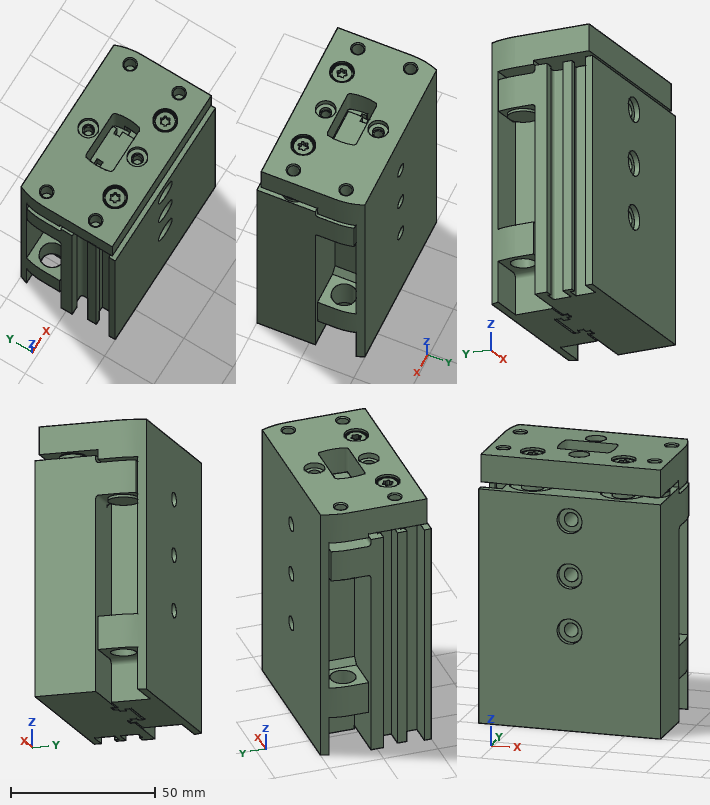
import cadquery as cq
import math


TOTAL_HEIGHT = 97.0
TOTAL_DEPTH = 40.0
HOUSING_HALF_WIDTH = 33.0
HOUSING_HEIGHT = 84.9
HOUSING_BACK_Y = 22.2

SIDE_CLEARANCE = 0.4
SLIDE_HALF_WIDTH = HOUSING_HALF_WIDTH - SIDE_CLEARANCE
SLIDE_BACK_HALF_WIDTH = 30.6
CURVE_START_Y = 29.9
CURVE_DEPTH = TOTAL_DEPTH - CURVE_START_Y
CURVE_INSET = SLIDE_HALF_WIDTH - SLIDE_BACK_HALF_WIDTH
CURVE_RADIUS = (CURVE_DEPTH**2 + CURVE_INSET**2) / (2 * CURVE_INSET)
END_PLATE_FRONT_Y = 1.5
END_PLATE_THICKNESS = 10.0
END_PLATE_BOTTOM_Z = TOTAL_HEIGHT - END_PLATE_THICKNESS
SLIDE_FRONT_Y = 22.9
BACK_PLATE_THICKNESS = 2.9
BACK_PLATE_FRONT_Y = TOTAL_DEPTH - BACK_PLATE_THICKNESS

SPINE_HALF_WIDTH = 17.7
STOP_BLOCK_BOTTOM_Z = 15.1
STOP_BLOCK_TOP_Z = 27.1
STOP_BLOCK_CHAMFER = 2.2
STOP_BLOCK_FILLET = 1.9
OPENING_TOP_Z = 85.6
OPENING_FILLET = 2.0
RIGHT_OPENING_TOP_Z = OPENING_TOP_Z - OPENING_FILLET

RAIL_WIDTH = 15.0
RAIL_FRONT_Y = 16.7
RAIL_BACK_Y = 26.2
RAIL_TOP_Z = 88.5
RAIL_GROOVE_FRONT_Y = 22.1
RAIL_GROOVE_BACK_Y = 24.4
RAIL_GROOVE_DEPTH = 2.0
CARRIAGE_FRONT_Y = 20.8
CARRIAGE_TOP_Z = RIGHT_OPENING_TOP_Z
RECESS_FRONT_Y = 20.5
RECESS_HALF_WIDTH = 10.7

WINDOW_FRONT_Y = 15.9
WINDOW_BACK_Y = 27.0
WINDOW_MID_HALF_WIDTH = 10.1
WINDOW_END_HALF_WIDTH = 9.3
WINDOW_CORNER_RADIUS = 1.3

STOP_X = 26.0
STOP_Y = 30.1
STOP_HOLE_DIAMETER = 9.0
STOP_BUMPER_DIAMETER = 11.0
STOP_BUMPER_HEIGHT = 1.0
EAR_BOTTOM_Z = 70.5
EAR_TOP_Z = 82.3
EAR_BACK_Y = 36.6
EAR_INNER_X = 20.5
EAR_ROOT_FILLET = 1.2

ROD_X = 16.5
ROD_Y = 10.3
ROD_DIAMETER = 8.0
ROD_DEPTH = 29.1
ROD_RECESS_DIAMETER = 16.0
ROD_RECESS_DEPTH = 1.0

HOLE_FRONT_Y = 11.4
HOLE_BACK_Y = 31.4
CORNER_HOLE_X = 27.45
CORNER_HOLE_DIAMETER = 4.2
CORNER_HOLE_MOUTH = 5.0
BLIND_HOLE_DEPTH = 7.8
CENTRE_HOLE_DIAMETER = 3.2
CENTRE_STEP_DIAMETER = 4.2
CENTRE_STEP_DEPTH = 3.5
CENTRE_BORE_DIAMETER = 7.2
CENTRE_BORE_DEPTH = 2.0
SCREW_BORE_DIAMETER = 8.5
SCREW_BORE_DEPTH = 0.9
SCREW_RING_DIAMETER = 8.0
SCREW_RING_DEPTH = 1.6
SCREW_HEAD_DIAMETER = 7.0
TORX_CORE_DIAMETER = 2.8
TORX_LOBE_DIAMETER = 0.9
TORX_LOBE_CIRCLE = 2.9
TORX_LOBES = 6
TORX_DEPTH = 1.9

CROSS_HOLE_DIAMETER = 5.0
CROSS_BORE_DIAMETER = 9.0
CROSS_BORE_DEPTH = 2.0
CROSS_HOLE_TOP_Z = 76.0
CROSS_HOLE_PITCH = 20.0
CROSS_HOLE_COUNT = 3

FRONT_FLANGE_THICKNESS = 2.6
RIB_FRONT_Y = 8.5
RIB_BACK_Y = 12.0
RIB_INSET = 1.3
FRONT_UNDERCUT_Y = 10.1
REAR_SLOT_BACK_Y = 17.6
REAR_UNDERCUT_Y = 18.6
FRONT_LIP_DEPTH = 3.4
REAR_LIP_DEPTH = 3.2
SLOT_DEPTH = 7.8
SLOT_FLOOR_FILLET = 1.0

BUMPER_X = 27.7
BUMPER_Y = 12.2
BUMPER_DIAMETER = 9.5
BUMPER_HEIGHT = 1.5
BUMPER_TIP_DIAMETER = 8.5
BUMPER_TIP_HEIGHT = 0.5


def box(x_range, y_range, z_range):
    """Box between two corners given as (low, high) pairs."""
    lows, highs = zip(x_range, y_range, z_range)
    size = [high - low for low, high in zip(lows, highs)]
    return cq.Workplane("XY").box(*size, centered=False).translate(lows)


def cylinder(x, y, diameter, z_low, z_high):
    """Upright cylinder."""
    plane = cq.Workplane("XY", origin=(x, y, z_low))
    return plane.circle(diameter / 2).extrude(z_high - z_low)


def cone(x, y, low_diameter, high_diameter, z_low, z_high):
    """Upright truncated cone."""
    solid = cq.Solid.makeCone(low_diameter / 2, high_diameter / 2, z_high - z_low)
    return cq.Workplane(solid).translate((x, y, z_low))


def rounded_back_prism(front_y, back_y, half_width, radius, z_low, z_high):
    """Prism whose straight sides turn into arcs that curve inward behind CURVE_START_Y."""
    arc_centre_x = half_width - radius

    def side_x(y):
        return arc_centre_x + math.sqrt(radius**2 - (y - CURVE_START_Y) ** 2)

    mid_y = (CURVE_START_Y + back_y) / 2
    outline = (
        cq.Workplane("XY", origin=(0, 0, z_low))
        .moveTo(-half_width, front_y)
        .lineTo(half_width, front_y)
        .lineTo(half_width, CURVE_START_Y)
        .threePointArc((side_x(mid_y), mid_y), (side_x(back_y), back_y))
        .lineTo(-side_x(back_y), back_y)
        .threePointArc((-side_x(mid_y), mid_y), (-half_width, CURVE_START_Y))
        .close()
    )
    return outline.extrude(z_high - z_low)


def cross_holes():
    """Counterbored row of holes along Y, through the housing and the slide."""
    centres = [(0, CROSS_HOLE_TOP_Z - i * CROSS_HOLE_PITCH) for i in range(CROSS_HOLE_COUNT)]
    face = cq.Workplane("XZ").pushPoints(centres)
    holes = face.circle(CROSS_HOLE_DIAMETER / 2).extrude(-TOTAL_DEPTH)
    bores = face.circle(CROSS_BORE_DIAMETER / 2).extrude(-CROSS_BORE_DEPTH)
    return holes.union(bores)


def sensor_slots():
    """Two undercut slots along the -X side, with the rib between them set back."""
    face_x = -HOUSING_HALF_WIDTH
    floor_x = face_x + SLOT_DEPTH
    rear_lip_x = face_x + REAR_LIP_DEPTH
    height = (0, HOUSING_HEIGHT)
    front_slot = box((face_x, floor_x), (FRONT_FLANGE_THICKNESS, RIB_FRONT_Y), height)
    front_undercut = box((face_x + FRONT_LIP_DEPTH, floor_x), (RIB_FRONT_Y, FRONT_UNDERCUT_Y), height)
    rear_slot = box((face_x, rear_lip_x), (RIB_BACK_Y, REAR_SLOT_BACK_Y), height)
    rear_cavity = box((rear_lip_x, floor_x), (RIB_BACK_Y, REAR_UNDERCUT_Y), height)
    rear_cavity = rear_cavity.edges("|Z and >X and >Y").fillet(SLOT_FLOOR_FILLET)
    rib_setback = box((face_x, face_x + RIB_INSET), (RIB_FRONT_Y, RIB_BACK_Y), height)
    return front_slot.union(front_undercut).union(rear_slot).union(rear_cavity).union(rib_setback)


def guide_rail():
    """Rail with a ball groove along each side."""
    half = RAIL_WIDTH / 2
    height = (0, RAIL_TOP_Z)
    rail = box((-half, half), (RAIL_FRONT_Y, RAIL_BACK_Y), height)
    groove_y = (RAIL_GROOVE_FRONT_Y, RAIL_GROOVE_BACK_Y)
    for groove_x in ((-half, RAIL_GROOVE_DEPTH - half), (half - RAIL_GROOVE_DEPTH, half)):
        rail = rail.cut(box(groove_x, groove_y, height))
    return rail


def make_housing():
    width = (-HOUSING_HALF_WIDTH, HOUSING_HALF_WIDTH)
    body = box(width, (0, HOUSING_BACK_Y), (0, HOUSING_HEIGHT))

    ear_radius = CURVE_RADIUS + SIDE_CLEARANCE
    ears = rounded_back_prism(
        HOUSING_BACK_Y, EAR_BACK_Y, HOUSING_HALF_WIDTH, ear_radius, EAR_BOTTOM_Z, EAR_TOP_Z
    )
    ears = ears.cut(box((-EAR_INNER_X, EAR_INNER_X), (0, TOTAL_DEPTH), (0, TOTAL_HEIGHT)))
    body = body.union(ears)
    for z in (EAR_BOTTOM_Z, EAR_TOP_Z):
        root = cq.selectors.BoxSelector(
            (-HOUSING_HALF_WIDTH, HOUSING_BACK_Y - SIDE_CLEARANCE, z - SIDE_CLEARANCE),
            (HOUSING_HALF_WIDTH, HOUSING_BACK_Y + SIDE_CLEARANCE, z + SIDE_CLEARANCE),
        )
        body = body.edges(root).fillet(EAR_ROOT_FILLET)
    for x in (-STOP_X, STOP_X):
        bumper_bottom = EAR_BOTTOM_Z - STOP_BUMPER_HEIGHT
        body = body.union(cylinder(x, STOP_Y, STOP_BUMPER_DIAMETER, bumper_bottom, EAR_BOTTOM_Z))

    recess = (-RECESS_HALF_WIDTH, RECESS_HALF_WIDTH)
    body = body.cut(box(recess, (RECESS_FRONT_Y, HOUSING_BACK_Y), (0, HOUSING_HEIGHT)))
    body = body.union(guide_rail()).cut(sensor_slots())
    rod_recess_z = HOUSING_HEIGHT - ROD_RECESS_DEPTH
    for x in (-ROD_X, ROD_X):
        body = body.cut(cylinder(x, ROD_Y, ROD_DIAMETER, HOUSING_HEIGHT - ROD_DEPTH, HOUSING_HEIGHT))
        body = body.cut(cylinder(x, ROD_Y, ROD_RECESS_DIAMETER, rod_recess_z, HOUSING_HEIGHT))

    bumper_top = HOUSING_HEIGHT + BUMPER_HEIGHT
    tip_top = bumper_top + BUMPER_TIP_HEIGHT
    body = body.union(cylinder(BUMPER_X, BUMPER_Y, BUMPER_DIAMETER, rod_recess_z, bumper_top))
    body = body.union(cylinder(BUMPER_X, BUMPER_Y, BUMPER_TIP_DIAMETER, bumper_top, tip_top))
    return body.cut(cross_holes())


def left_opening():
    """Opening beside the spine on -X, above the stop block, for the housing ear."""
    outer_x = -HOUSING_HALF_WIDTH
    spine_x = -SPINE_HALF_WIDTH
    arc_offset = OPENING_FILLET * (1 - math.sqrt(0.5))
    profile = (
        cq.Workplane("XZ", origin=(0, BACK_PLATE_FRONT_Y, 0))
        .moveTo(outer_x, STOP_BLOCK_TOP_Z)
        .lineTo(spine_x - STOP_BLOCK_CHAMFER, STOP_BLOCK_TOP_Z)
        .lineTo(spine_x, STOP_BLOCK_TOP_Z + STOP_BLOCK_CHAMFER)
        .lineTo(spine_x, OPENING_TOP_Z - OPENING_FILLET)
        .threePointArc(
            (spine_x - arc_offset, OPENING_TOP_Z - arc_offset),
            (spine_x - OPENING_FILLET, OPENING_TOP_Z),
        )
        .lineTo(outer_x, OPENING_TOP_Z)
        .close()
    )
    return profile.extrude(BACK_PLATE_FRONT_Y - SLIDE_FRONT_Y)


def lower_opening():
    """Opening beside the spine on -X, below the stop block."""
    opening = box(
        (-HOUSING_HALF_WIDTH, -SPINE_HALF_WIDTH),
        (SLIDE_FRONT_Y, BACK_PLATE_FRONT_Y),
        (0, STOP_BLOCK_BOTTOM_Z),
    )
    return opening.edges("|Y and >X and >Z").fillet(STOP_BLOCK_FILLET)


def window_prism(z_low, z_high):
    """Window shape: bowed sides, straight front and back edges, rounded corners."""
    mid_y = (WINDOW_FRONT_Y + WINDOW_BACK_Y) / 2
    outline = (
        cq.Workplane("XY", origin=(0, 0, z_low))
        .moveTo(-WINDOW_END_HALF_WIDTH, WINDOW_FRONT_Y)
        .lineTo(WINDOW_END_HALF_WIDTH, WINDOW_FRONT_Y)
        .threePointArc((WINDOW_MID_HALF_WIDTH, mid_y), (WINDOW_END_HALF_WIDTH, WINDOW_BACK_Y))
        .lineTo(-WINDOW_END_HALF_WIDTH, WINDOW_BACK_Y)
        .threePointArc((-WINDOW_MID_HALF_WIDTH, mid_y), (-WINDOW_END_HALF_WIDTH, WINDOW_FRONT_Y))
        .close()
    )
    return outline.extrude(z_high - z_low).edges("|Z").fillet(WINDOW_CORNER_RADIUS)


def rod_screw_recess(x):
    """Counterbore, ring gap and star socket that form a sunk screw head at the end of a rod."""
    bore_z = TOTAL_HEIGHT - SCREW_BORE_DEPTH
    ring_z = TOTAL_HEIGHT - SCREW_RING_DEPTH
    recess = cylinder(x, ROD_Y, SCREW_RING_DIAMETER, ring_z, bore_z)
    recess = recess.cut(cylinder(x, ROD_Y, SCREW_HEAD_DIAMETER, ring_z, bore_z))
    recess = recess.union(cylinder(x, ROD_Y, SCREW_BORE_DIAMETER, bore_z, TOTAL_HEIGHT))
    socket_z = bore_z - TORX_DEPTH
    recess = recess.union(cylinder(x, ROD_Y, TORX_CORE_DIAMETER, socket_z, bore_z))
    for i in range(TORX_LOBES):
        angle = math.radians(90 + i * 360 / TORX_LOBES)
        lobe_x = x + TORX_LOBE_CIRCLE / 2 * math.cos(angle)
        lobe_y = ROD_Y + TORX_LOBE_CIRCLE / 2 * math.sin(angle)
        recess = recess.union(cylinder(lobe_x, lobe_y, TORX_LOBE_DIAMETER, socket_z, bore_z))
    return recess


def chamfered_hole(x, y, diameter, mouth_diameter, top_z, bottom_z):
    """Blind hole with a 45-degree countersunk mouth."""
    chamfer_z = top_z - (mouth_diameter - diameter) / 2
    hole = cylinder(x, y, diameter, bottom_z, top_z)
    return hole.union(cone(x, y, diameter, mouth_diameter, chamfer_z, top_z))


def make_slide():
    body = rounded_back_prism(
        SLIDE_FRONT_Y, TOTAL_DEPTH, SLIDE_HALF_WIDTH, CURVE_RADIUS, 0, TOTAL_HEIGHT
    )
    end_plate = box(
        (-SLIDE_HALF_WIDTH, SLIDE_HALF_WIDTH),
        (END_PLATE_FRONT_Y, SLIDE_FRONT_Y),
        (END_PLATE_BOTTOM_Z, TOTAL_HEIGHT),
    )
    body = body.union(end_plate)

    right_filler = box(
        (0, HOUSING_HALF_WIDTH), (0, TOTAL_DEPTH), (RIGHT_OPENING_TOP_Z, TOTAL_HEIGHT)
    )
    right_opening = left_opening().mirror("YZ").cut(right_filler)
    for opening in (left_opening(), right_opening, lower_opening(), lower_opening().mirror("YZ")):
        body = body.cut(opening)
    for x in (-STOP_X, STOP_X):
        body = body.cut(cylinder(x, STOP_Y, STOP_HOLE_DIAMETER, STOP_BLOCK_BOTTOM_Z, STOP_BLOCK_TOP_Z))

    carriage = box(
        (-WINDOW_MID_HALF_WIDTH, WINDOW_MID_HALF_WIDTH),
        (CARRIAGE_FRONT_Y, SLIDE_FRONT_Y),
        (0, CARRIAGE_TOP_Z),
    )
    rail_gap = box(
        (-RAIL_WIDTH / 2, RAIL_WIDTH / 2), (RAIL_BACK_Y, WINDOW_BACK_Y), (0, CARRIAGE_TOP_Z)
    )
    window = window_prism(CARRIAGE_TOP_Z, TOTAL_HEIGHT)
    body = body.union(carriage).cut(guide_rail()).cut(rail_gap).cut(window)

    for x in (-ROD_X, ROD_X):
        rod = cylinder(x, ROD_Y, ROD_DIAMETER, HOUSING_HEIGHT - ROD_DEPTH, END_PLATE_BOTTOM_Z)
        body = body.union(rod).cut(rod_screw_recess(x))

    hole_bottom = TOTAL_HEIGHT - BLIND_HOLE_DEPTH
    centre_bore_z = TOTAL_HEIGHT - CENTRE_BORE_DEPTH
    step_z = TOTAL_HEIGHT - CENTRE_STEP_DEPTH
    for y in (HOLE_FRONT_Y, HOLE_BACK_Y):
        for x in (-CORNER_HOLE_X, CORNER_HOLE_X):
            body = body.cut(
                chamfered_hole(x, y, CORNER_HOLE_DIAMETER, CORNER_HOLE_MOUTH, TOTAL_HEIGHT, hole_bottom)
            )
        body = body.cut(cylinder(0, y, CENTRE_BORE_DIAMETER, centre_bore_z, TOTAL_HEIGHT))
        body = body.cut(cylinder(0, y, CENTRE_STEP_DIAMETER, step_z, centre_bore_z))
        body = body.cut(cylinder(0, y, CENTRE_HOLE_DIAMETER, hole_bottom, step_z))
    return body.cut(cross_holes())


housing = make_housing()
slide = make_slide()

result = cq.Compound.makeCompound([housing.solids().val(), slide.solids().val()])